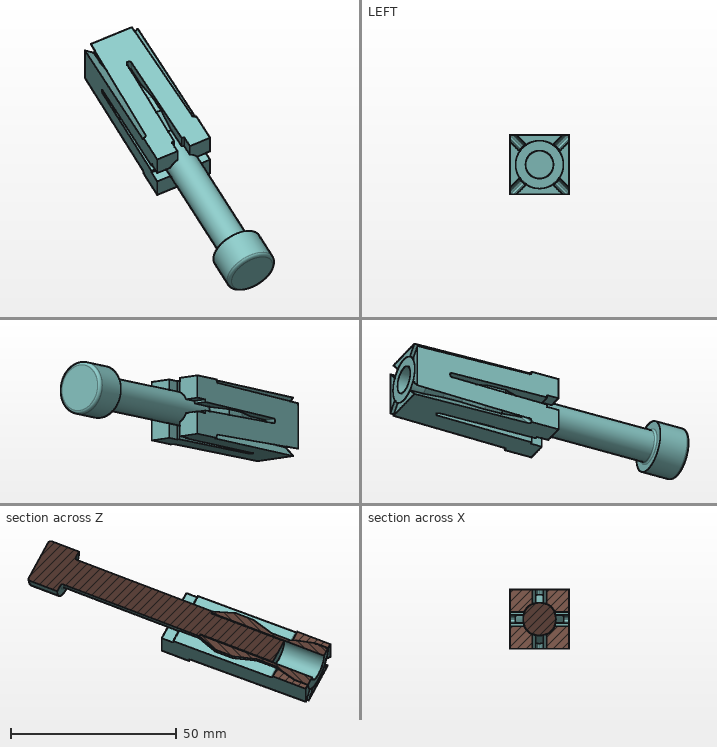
import cadquery as cq
import math


sleeve_length = 48.0
sleeve_side = 18.0
slot_draft = math.tan(math.radians(1.0))

face_slot_start = 11.1
slot_tip_width = 1.46
face_slot_mouth_start = 44.2
face_slot_mouth_width = 4.2

corner_slot_end = 38.9
slot_tip_fillet = 0.7

nut_length = 37.4
nut_front_radius = 7.25
collar_radius = 7.4
neck_radius = 5.3
nut_rear_radius = 5.0
front_cone_start = 4.5
neck_start = 11.75
neck_end = 18.0
collar_start = 25.0
collar_end = 30.9
nut_bore_radius = 4.25

overall_length = 93.17
screw_length = 70.0
shank_radius = 5.0
screw_thread_radius = 4.2
head_radius = 8.0
head_height = 10.0
head_fillet = 1.0
under_head_fillet = 0.6
head_start = overall_length - head_height
screw_tip = head_start - screw_length


def turned(points):
    """Solid of revolution about X from (x, radius) points that close along the axis."""
    return cq.Workplane("XY").polyline(points).close().revolve(360, (0, 0, 0), (1, 0, 0))


def nut_envelope():
    """Outside of the nut, which is also the shape of the sleeve's bore around it."""
    return turned([
        (0, 0),
        (0, nut_front_radius),
        (front_cone_start, nut_front_radius),
        (neck_start, neck_radius),
        (neck_end, neck_radius),
        (collar_start, collar_radius),
        (collar_end, collar_radius),
        (nut_length, nut_rear_radius),
        (nut_length, 0),
    ])


def tapered_slot(tip_x, mouth_x):
    """Slot standing on the axis and reaching up, with a rounded tip and drafted walls."""
    tip_half = slot_tip_width / 2
    mouth_half = tip_half + abs(mouth_x - tip_x) * slot_draft
    outline = [
        (tip_x, -tip_half),
        (mouth_x, -mouth_half),
        (mouth_x, mouth_half),
        (tip_x, tip_half),
    ]
    slot = cq.Workplane("XY").polyline(outline).close().extrude(sleeve_side)
    tip_side = "<X" if tip_x < mouth_x else ">X"
    return slot.faces(tip_side).edges("|Z").fillet(slot_tip_fillet)


def about_axis(solid, angle):
    return solid.rotate((0, 0, 0), (1, 0, 0), angle)


def make_sleeve():
    body = cq.Workplane("YZ").rect(sleeve_side, sleeve_side).extrude(sleeve_length)
    bore = cq.Workplane("YZ").circle(shank_radius).extrude(sleeve_length)
    body = body.cut(bore).cut(nut_envelope())

    face_slot = tapered_slot(face_slot_start, sleeve_length)
    mouth_length = sleeve_length - face_slot_mouth_start
    mouth = cq.Workplane("XY").box(
        mouth_length, face_slot_mouth_width, sleeve_side, centered=(False, True, False)
    ).translate((face_slot_mouth_start, 0, 0))
    corner_slot = tapered_slot(corner_slot_end, 0)
    for quarter in range(4):
        angle = 90 * quarter
        body = body.cut(about_axis(face_slot, angle))
        body = body.cut(about_axis(mouth, angle))
        body = body.cut(about_axis(corner_slot, angle + 45))
    return body


def make_nut():
    bore = cq.Workplane("YZ").circle(nut_bore_radius).extrude(nut_length)
    return nut_envelope().cut(bore)


def make_screw():
    """Cap screw whose threaded end runs inside the nut's bore and shoulders on its rear face."""
    thread = cq.Workplane("YZ", origin=(screw_tip, 0, 0)).circle(screw_thread_radius)
    shank = cq.Workplane("YZ", origin=(nut_length, 0, 0)).circle(shank_radius)
    head = cq.Workplane("YZ", origin=(head_start, 0, 0)).circle(head_radius)
    head = head.extrude(head_height).faces(">X").edges().fillet(head_fillet)

    screw = head.union(shank.extrude(head_start - nut_length))
    under_head = screw.faces("<X[1]")
    screw = under_head.edges(cq.selectors.RadiusNthSelector(0)).fillet(under_head_fillet)
    return screw.union(thread.extrude(nut_length - screw_tip))


sleeve = make_sleeve()
nut = make_nut()
screw = make_screw()
result = cq.Compound.makeCompound([sleeve.val(), nut.val(), screw.val()])